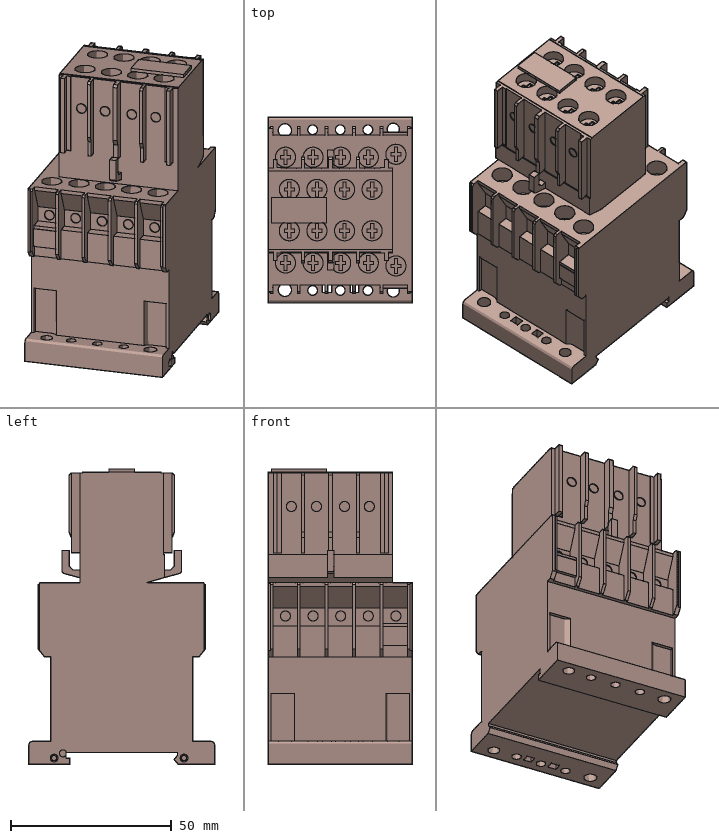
import cadquery as cq
import math

WIDTH = 45.0
HEIGHT = 92.0
BASE_DEPTH = 58.0
BLOCK_POLES = 5
TERMINAL_SPAN = 34.4
PITCH = TERMINAL_SPAN / (BLOCK_POLES - 1)
AUX_POLES = 4
SIDES = (-1, 1)
OVERLAP = 0.9

BASE_TOP = 7.2
BASE_FILLET = 1.2
RAIL_CEILING = 3.6
RAIL_WALL = 17.3
BACK_LIP_Y = 16.2
BACK_LIP_TOP = 1.9
FRONT_LATCH_TIP = (-16.3, 1.5)
FRONT_LATCH_TOP = 2.8
FRONT_FOOT_Y = -17.6
RELIEF_Y = 18.3
RELIEF_Z = 3.4
RELIEF_RADIUS = 1.1
RELIEF_DEPTH = 0.5
SIDE_HOLE_YS = (-19.4, 21.1)
SIDE_HOLE_Z = 1.9
SIDE_HOLE_RADIUS = 1.2
SIDE_HOLE_DEPTH = 0.9
SIDE_PILOT_RADIUS = 0.8
SIDE_PILOT_DEPTH = 1.8
BASE_HOLE_Y = 25.0
BASE_HOLE_RADIUS = 1.5
BASE_HOLE_COUNT = 3
FIRST_BASE_HOLE_X = 13.9
BASE_HOLE_XS = [FIRST_BASE_HOLE_X + i * PITCH for i in range(BASE_HOLE_COUNT)]
MOUNT_HOLES = ((5.2, 24.8, 2.0), (39.0, 25.2, 1.8))
SLOT_XS = ((16.9, 19.8), (25.7, 28.2))
SLOT_Y_INNER = 23.3
SLOT_Y_OUTER = 25.7

BODY_DEPTH = 44.3
RECESS_TOP = 22.1
RECESS_DEPTH = 1.1
RECESS_FLAT = 5.15
RECESS_CURVE = 2.1
RECESS_MARGIN = 0.9

BLOCK_BOTTOM = 33.5
BLOCK_TOP = 56.6
BLOCK_Y = 23.4
RIB_Y = 26.0
RIB_WIDTH = 0.9
END_RIB_WIDTH = 1.5
END_STEP_WIDTH = 0.8
END_STEP_DEPTH = 0.4
RIB_TOP_CHAMFER = 0.6
RIB_FOOT_Y = 24.1
RIB_FOOT_HEIGHT = 2.4
FIRST_RIB_X = 9.6
POCKET_TOP = 55.4
POCKET_BEND = 48.7
POCKET_LEDGE = 43.15
POCKET_BACK_Y = 20.0
COIL_BLOCK_Y = 24.4
COIL_BLOCK_BOTTOM = 37.0
COIL_BLOCK_TOP = 43.9
COIL_STEP_HEIGHT = 1.0
COIL_STEP_DEPTH = 0.2
TERMINAL_X = 5.4
TERMINAL_Z = 46.2
TERMINAL_RADIUS = 1.6
TERMINAL_DEPTH = 0.3
BLOCK_SCREW_Y = 16.5
COIL_SCREW_Y = 17.4

AUX_WIDTH = 38.8
AUX_Y = 13.1
AUX_TOP = 91.0
AUX_TOP_STEP_Y = 12.2
AUX_TOP_STEP_HEIGHT = 0.2
AUX_PANEL_BOTTOM = 65.3
AUX_SKIRT_Y = 13.3
AUX_SKIRT_BOTTOM = 58.1
AUX_UNDERCUT_Y = 7.9
AUX_RIB_BOTTOM = 65.9
AUX_RIB_Y = 15.7
AUX_RIB_NOSE_Y = 16.5
AUX_NOSE_BOTTOM = 72.4
AUX_NOSE_TAPER = 1.75
AUX_NOSE_CHAMFER = 0.7
AUX_END_RIB_XS = ((1.7, 2.85), (36.25, 37.5))
AUX_RIB_XS = ((10.4, 11.4), (18.8, 20.15), (27.5, 28.5))
AUX_PAD_WIDTH = 1.3
AUX_PAD_HEIGHT = 0.3
AUX_TERMINAL_XS = (7.3, 15.1, 23.8, 31.6)
AUX_TERMINAL_Z = 80.3
AUX_SCREW_X = 6.6
AUX_SCREW_Y = 6.4
LABEL_X = (1.0, 18.2)
LABEL_DEPTH = 8.0

HOOK_X = (18.5, 20.5)
HOOK_TOP = 66.6
HOOK_INNER_Y = 16.3
HOOK_OUTER_Y = 18.7
HOOK_FLOOR = 60.5
HOOK_TIP_BOTTOM = 59.4
HOOK_CHAMFER = 0.55
HOOK_INNER_CHAMFER = 1.1

SCREW_RADIUS = 3.1
AUX_SCREW_DEPTH = 3.2
BLOCK_SCREW_DEPTH = 5.5
CROSS_LENGTHS = (3.1, 4.6)
CROSS_WIDTH = 1.0
CROSS_DEPTH = 0.5
CROSS_CENTRE = 2.2


def block(x0, x1, y0, y1, z0, z1):
    """Box between two opposite corners; the Y limits may come in either order."""
    low_y = min(y0, y1)
    size = (x1 - x0, abs(y1 - y0), z1 - z0)
    return cq.Workplane("XY").box(*size, centered=False).translate((x0, low_y, z0))


def prism(points, x0, x1, side=1):
    """Extrude a (Y, Z) outline along X, mirrored in Y when side is -1."""
    outline = [(side * y, z) for y, z in points]
    return cq.Workplane("YZ").workplane(offset=x0).polyline(outline).close().extrude(x1 - x0)


def rod_x(y, z, radius, x0, x1):
    return cq.Workplane("YZ").workplane(offset=x0).center(y, z).circle(radius).extrude(x1 - x0)


def rod_y(x, z, radius, y, depth):
    """Rod centred on the plane Y = y, reaching depth to both sides of it."""
    return cq.Workplane("XZ", origin=(0, y, 0)).center(x, z).circle(radius).extrude(depth, both=True)


def rod_z(x, y, radius, z0, z1):
    return cq.Workplane("XY").workplane(offset=z0).center(x, y).circle(radius).extrude(z1 - z0)


def cut_screw_wells(body, points, top, depth):
    floor = top - depth
    for x, y in points:
        body = body.cut(rod_z(x, y, SCREW_RADIUS, floor, top + OVERLAP))
    length_x, length_y = CROSS_LENGTHS
    cross = cq.Workplane("XY").workplane(offset=floor - CROSS_DEPTH).pushPoints(points)
    body = body.cut(cross.rect(length_x, CROSS_WIDTH).extrude(CROSS_DEPTH))
    body = body.cut(cross.polygon(4, CROSS_CENTRE).extrude(CROSS_DEPTH))
    return body.cut(cross.rect(CROSS_WIDTH, length_y).extrude(CROSS_DEPTH))


def make_base():
    half = BASE_DEPTH / 2
    base = block(0, WIDTH, -half, half, 0, BASE_TOP)
    base = base.edges("|X and >Z").fillet(BASE_FILLET)
    rail = [
        (FRONT_FOOT_Y, 0),
        FRONT_LATCH_TIP,
        (-RAIL_WALL, FRONT_LATCH_TOP),
        (-RAIL_WALL, RAIL_CEILING),
        (RAIL_WALL, RAIL_CEILING),
        (RAIL_WALL, BACK_LIP_TOP),
        (BACK_LIP_Y, BACK_LIP_TOP),
        (BACK_LIP_Y, 0),
    ]
    base = base.cut(prism(rail, 0, WIDTH))
    base = base.cut(rod_x(RELIEF_Y, RELIEF_Z, RELIEF_RADIUS, 0, RELIEF_DEPTH))
    for y in SIDE_HOLE_YS:
        base = base.cut(rod_x(y, SIDE_HOLE_Z, SIDE_HOLE_RADIUS, 0, SIDE_HOLE_DEPTH))
        base = base.cut(rod_x(y, SIDE_HOLE_Z, SIDE_PILOT_RADIUS, 0, SIDE_PILOT_DEPTH))
    holes = [(x, BASE_HOLE_Y, BASE_HOLE_RADIUS) for x in BASE_HOLE_XS] + list(MOUNT_HOLES)
    for side in SIDES:
        for x, y, radius in holes:
            base = base.cut(rod_z(x, side * y, radius, 0, BASE_TOP))
    for x0, x1 in SLOT_XS:
        base = base.cut(block(x0, x1, -SLOT_Y_OUTER, -SLOT_Y_INNER, 0, BASE_TOP))
    return base


def make_recess():
    """Front left recess: flat floor that curves up to the surface at its inner end."""
    face = -BODY_DEPTH / 2
    floor = face + RECESS_DEPTH
    flat_end = RECESS_MARGIN + RECESS_FLAT
    radius = (RECESS_CURVE**2 + RECESS_DEPTH**2) / (2 * RECESS_DEPTH)
    half_angle = math.asin(RECESS_CURVE / radius) / 2
    mid_point = (flat_end + radius * math.sin(half_angle), floor - radius * (1 - math.cos(half_angle)))
    return (
        cq.Workplane("XY").workplane(offset=BASE_TOP)
        .moveTo(RECESS_MARGIN, face)
        .lineTo(RECESS_MARGIN, floor)
        .lineTo(flat_end, floor)
        .threePointArc(mid_point, (flat_end + RECESS_CURVE, face))
        .close()
        .extrude(RECESS_TOP - BASE_TOP)
    )


def make_lower_body():
    half = BODY_DEPTH / 2
    body = block(0, WIDTH, -half, half, BASE_TOP, BLOCK_BOTTOM)
    left = make_recess()
    right = left.mirror("YZ").translate((WIDTH, 0, 0))
    for recess in (left, right):
        body = body.cut(recess).cut(recess.mirror("XZ"))
    return body


def make_terminal_block():
    """Wide block with open wire pockets between ribs and a prouder coil terminal at the right end."""
    body = block(0, WIDTH, -BLOCK_Y, BLOCK_Y, BLOCK_BOTTOM, BLOCK_TOP)
    rib_centres = [FIRST_RIB_X + i * PITCH for i in range(BLOCK_POLES - 1)]
    rib_spans = [(x - RIB_WIDTH / 2, x + RIB_WIDTH / 2) for x in rib_centres]
    rib_spans = [(0, END_RIB_WIDTH)] + rib_spans + [(WIDTH - END_RIB_WIDTH, WIDTH)]
    terminal_xs = [TERMINAL_X + i * PITCH for i in range(BLOCK_POLES)]
    coil_start = rib_spans[-2][1]
    coil_end = rib_spans[-1][0]

    pocket = [
        (BLOCK_Y, POCKET_TOP),
        (POCKET_BACK_Y, POCKET_BEND),
        (POCKET_BACK_Y, POCKET_LEDGE),
        (BLOCK_Y, POCKET_LEDGE),
    ]
    rib = [
        (0, BLOCK_BOTTOM),
        (RIB_FOOT_Y, BLOCK_BOTTOM),
        (RIB_Y, BLOCK_BOTTOM + RIB_FOOT_HEIGHT),
        (RIB_Y, BLOCK_TOP - RIB_TOP_CHAMFER),
        (RIB_Y - RIB_TOP_CHAMFER, BLOCK_TOP),
        (0, BLOCK_TOP),
    ]
    coil_block = [
        (POCKET_BACK_Y, COIL_BLOCK_BOTTOM),
        (COIL_BLOCK_Y, COIL_BLOCK_BOTTOM),
        (COIL_BLOCK_Y, COIL_BLOCK_TOP - COIL_STEP_HEIGHT),
        (COIL_BLOCK_Y - COIL_STEP_DEPTH, COIL_BLOCK_TOP - COIL_STEP_HEIGHT),
        (COIL_BLOCK_Y - COIL_STEP_DEPTH, COIL_BLOCK_TOP),
        (POCKET_BACK_Y, COIL_BLOCK_TOP),
    ]
    for side in SIDES:
        body = body.cut(prism(pocket, 0, WIDTH, side))
        for x in terminal_xs:
            body = body.cut(rod_y(x, TERMINAL_Z, TERMINAL_RADIUS, side * POCKET_BACK_Y, TERMINAL_DEPTH))
        for x0, x1 in rib_spans:
            body = body.union(prism(rib, x0, x1, side))
        body = body.union(prism(coil_block, coil_start, coil_end, side))
        for x in (0, WIDTH - END_STEP_WIDTH):
            step_y = side * (RIB_Y - END_STEP_DEPTH)
            body = body.cut(block(x, x + END_STEP_WIDTH, step_y, side * RIB_Y, BLOCK_BOTTOM, BLOCK_TOP))

    screws = []
    for side in SIDES:
        screws += [(x, side * BLOCK_SCREW_Y) for x in terminal_xs[:-1]]
        screws.append((terminal_xs[-1], side * COIL_SCREW_Y))
    return cut_screw_wells(body, screws, BLOCK_TOP, BLOCK_SCREW_DEPTH)


def make_aux_block():
    """Narrower block on top, undercut at its lower front edge, with ribs between its terminals."""
    step_top = AUX_TOP - AUX_TOP_STEP_HEIGHT
    outline = [
        (-AUX_UNDERCUT_Y, BLOCK_TOP - OVERLAP),
        (-AUX_UNDERCUT_Y, BLOCK_TOP),
        (-AUX_SKIRT_Y, AUX_SKIRT_BOTTOM),
        (-AUX_SKIRT_Y, AUX_PANEL_BOTTOM),
        (-AUX_Y, AUX_PANEL_BOTTOM),
        (-AUX_Y, step_top),
        (-AUX_TOP_STEP_Y, step_top),
        (-AUX_TOP_STEP_Y, AUX_TOP),
        (AUX_TOP_STEP_Y, AUX_TOP),
        (AUX_TOP_STEP_Y, step_top),
        (AUX_Y, step_top),
        (AUX_Y, BLOCK_TOP - OVERLAP),
    ]
    body = prism(outline, 0, AUX_WIDTH)
    nose_rib = [
        (0, AUX_RIB_BOTTOM),
        (AUX_RIB_Y, AUX_RIB_BOTTOM),
        (AUX_RIB_Y, AUX_NOSE_BOTTOM - AUX_NOSE_TAPER),
        (AUX_RIB_NOSE_Y, AUX_NOSE_BOTTOM),
        (AUX_RIB_NOSE_Y, step_top - AUX_NOSE_CHAMFER),
        (AUX_RIB_NOSE_Y - AUX_NOSE_CHAMFER, step_top),
        (0, step_top),
    ]
    pad_starts = (AUX_END_RIB_XS[0][1], AUX_END_RIB_XS[1][0] - AUX_PAD_WIDTH)
    for side in SIDES:
        for x in AUX_TERMINAL_XS:
            body = body.cut(rod_y(x, AUX_TERMINAL_Z, TERMINAL_RADIUS, side * AUX_Y, TERMINAL_DEPTH))
        for x0, x1 in AUX_END_RIB_XS:
            body = body.union(block(x0, x1, 0, side * AUX_RIB_Y, AUX_RIB_BOTTOM, step_top))
        for x0, x1 in AUX_RIB_XS:
            body = body.union(prism(nose_rib, x0, x1, side))
        for x in pad_starts:
            pad_y = side * (AUX_Y + AUX_PAD_HEIGHT)
            body = body.union(block(x, x + AUX_PAD_WIDTH, 0, pad_y, AUX_RIB_BOTTOM, step_top))

    screw_xs = [AUX_SCREW_X + i * PITCH for i in range(AUX_POLES)]
    screws = [(x, side * AUX_SCREW_Y) for x in screw_xs for side in SIDES]
    return cut_screw_wells(body, screws, AUX_TOP, AUX_SCREW_DEPTH)


def make_hook(side):
    """L-shaped latch hook that reaches out from the auxiliary block and turns upward."""
    hook = [
        (AUX_UNDERCUT_Y, HOOK_FLOOR),
        (HOOK_INNER_Y - HOOK_INNER_CHAMFER, HOOK_FLOOR),
        (HOOK_INNER_Y, HOOK_FLOOR + HOOK_INNER_CHAMFER),
        (HOOK_INNER_Y, HOOK_TOP),
        (HOOK_OUTER_Y, HOOK_TOP),
        (HOOK_OUTER_Y, HOOK_TIP_BOTTOM + HOOK_CHAMFER),
        (HOOK_OUTER_Y - HOOK_CHAMFER, HOOK_TIP_BOTTOM),
        (AUX_SKIRT_Y, AUX_SKIRT_BOTTOM),
        (AUX_UNDERCUT_Y, AUX_SKIRT_BOTTOM),
    ]
    return prism(hook, *HOOK_X, side)


label = block(*LABEL_X, -LABEL_DEPTH / 2, LABEL_DEPTH / 2, AUX_TOP, HEIGHT)

result = make_base().union(make_lower_body()).union(make_terminal_block()).union(make_aux_block())
for hook_side in SIDES:
    result = result.union(make_hook(hook_side))
result = result.union(label)